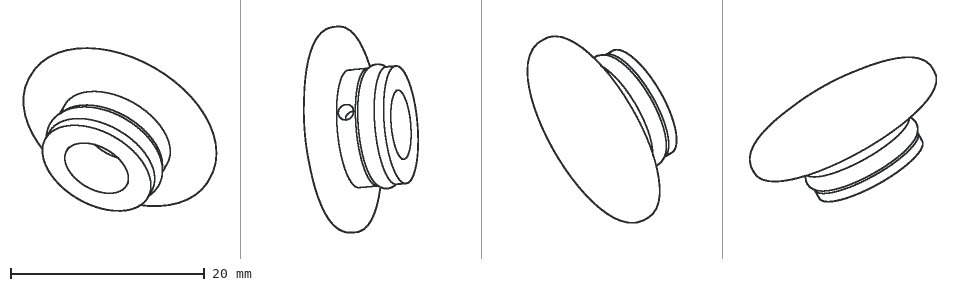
import cadquery as cq
import math


cap_radius = 10.67
cap_height = 4.064
dome_radius = 29.5
upper_rim_radius = 1.27
lower_rim_radius = 0.762

stem_radius = 6.096
stem_length = 5.08
groove_start = 2.032
groove_end = 4.064
groove_floor_radius = 4.763

ring_section_radius = 0.889
ring_outer_radius = 6.45

bore_radius = 3.572
bore_depth = stem_length
drill_tip_angle = 118

vent_radius = 0.82
vent_y = -1.016


def polar_point(center, radius, angle):
    """Point at the given angle (radians from the radial direction) on a circle."""
    return (center[0] + radius * math.cos(angle), center[1] + radius * math.sin(angle))


def revolve_about_y(profile):
    return profile.revolve(360, (0, 0, 0), (0, 1, 0))


def make_cap():
    dome_center = (0, cap_height - dome_radius)
    rim_center_x = cap_radius - upper_rim_radius
    center_distance = dome_radius - upper_rim_radius
    rim_angle = math.acos(rim_center_x / center_distance)
    rim_center = polar_point(dome_center, center_distance, rim_angle)
    rim_start = (cap_radius, rim_center[1])
    rim_middle = polar_point(rim_center, upper_rim_radius, rim_angle / 2)
    rim_end = polar_point(rim_center, upper_rim_radius, rim_angle)
    dome_middle = polar_point(dome_center, dome_radius, (rim_angle + math.pi / 2) / 2)

    lower_center = (cap_radius - lower_rim_radius, lower_rim_radius)
    lower_middle = polar_point(lower_center, lower_rim_radius, -math.pi / 4)

    profile = (
        cq.Workplane("XY")
        .lineTo(lower_center[0], 0)
        .threePointArc(lower_middle, (cap_radius, lower_rim_radius))
        .lineTo(*rim_start)
        .threePointArc(rim_middle, rim_end)
        .threePointArc(dome_middle, (0, cap_height))
        .close()
    )
    return revolve_about_y(profile)


def make_stem():
    profile = (
        cq.Workplane("XY")
        .lineTo(stem_radius, 0)
        .lineTo(stem_radius, -groove_start)
        .lineTo(groove_floor_radius, -groove_start)
        .lineTo(groove_floor_radius, -groove_end)
        .lineTo(stem_radius, -groove_end)
        .lineTo(stem_radius, -stem_length)
        .lineTo(0, -stem_length)
        .close()
    )
    return revolve_about_y(profile)


def make_ring():
    section_center_radius = ring_outer_radius - ring_section_radius
    groove_middle_y = -(groove_start + groove_end) / 2
    profile = (
        cq.Workplane("XY")
        .center(section_center_radius, groove_middle_y)
        .circle(ring_section_radius)
    )
    return profile.revolve(
        360, (-section_center_radius, 0, 0), (-section_center_radius, 1, 0)
    )


def make_bore():
    bore_floor_y = bore_depth - stem_length
    tip_height = bore_radius / math.tan(math.radians(drill_tip_angle / 2))
    profile = (
        cq.Workplane("XY")
        .moveTo(0, -stem_length)
        .lineTo(bore_radius, -stem_length)
        .lineTo(bore_radius, bore_floor_y)
        .lineTo(0, bore_floor_y + tip_height)
        .close()
    )
    return revolve_about_y(profile)


def make_vent():
    return (
        cq.Workplane("YZ", origin=(-stem_radius, 0, 0))
        .center(vent_y, 0)
        .circle(vent_radius)
        .extrude(stem_radius)
    )


body = make_cap().union(make_stem()).union(make_ring())
result = body.cut(make_bore()).cut(make_vent())